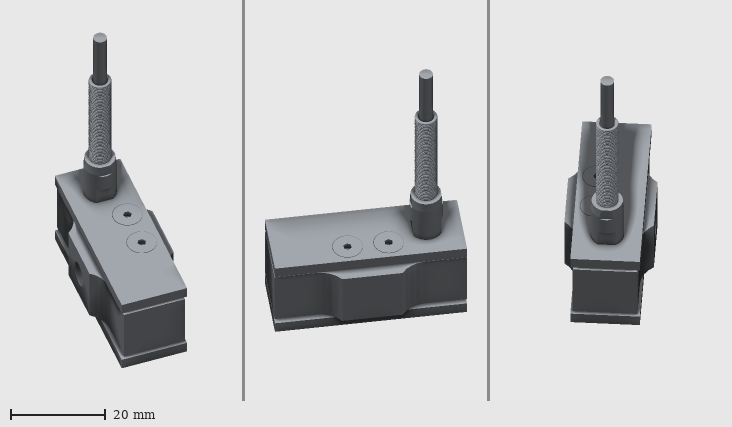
import cadquery as cq
import math

plate_thickness = 2.55
lower_gap = 0.8
block_height = 12.5
upper_gap = 0.6
total_height = 65.0

block_bottom = plate_thickness + lower_gap
block_top = block_bottom + block_height
top_plate_bottom = block_top + upper_gap
top_plate_top = top_plate_bottom + plate_thickness

housing_length = 40.95
plate_width = 14.7
block_width = 13.65
boss_width = 18.9
boss_face_length = 12.9
boss_foot_length = 23.0
front_hole_diameter = 5.5
front_hole_depth = 6.5

screw_spacing = 8.8
screw_y = 3.05
screw_diameter = 2.9
countersink_diameter = 6.55
head_gap = 0.1
socket_across_flats = 1.6
socket_depth = 1.3

gland_x = -12.8
gland_diameter = 7.1
gland_top_diameter = 6.6
stem_diameter = 4.9
gland_top = 29.3
cone_bottom = 27.2
lower_flats_top = 22.9
lower_flats_width = 6.0
upper_flats_bottom = 26.8
upper_flats_width = 6.4
sleeve_top = 52.4
sleeve_diameter = 4.8
sleeve_bore = 3.3
rib_count = 54

cable_diameter = 2.9


def plate(bottom):
    start = cq.Workplane("XY", origin=(0, 0, bottom))
    return start.rect(housing_length, plate_width).extrude(plate_thickness)


def block():
    """Block whose bosses run out into the sides along concave arcs tangent to the sides."""
    end_x = housing_length / 2
    side_y = block_width / 2
    boss_y = boss_width / 2
    face_x = boss_face_length / 2
    foot_x = boss_foot_length / 2

    run = foot_x - face_x
    rise = boss_y - side_y
    radius = (run**2 + rise**2) / (2 * rise)
    half_angle = math.asin(run / radius) / 2
    middle_x = foot_x - radius * math.sin(half_angle)
    middle_y = side_y + radius * (1 - math.cos(half_angle))

    body = (
        cq.Workplane("XY", origin=(0, 0, block_bottom))
        .moveTo(-end_x, -side_y)
        .lineTo(-foot_x, -side_y)
        .threePointArc((-middle_x, -middle_y), (-face_x, -boss_y))
        .lineTo(face_x, -boss_y)
        .threePointArc((middle_x, -middle_y), (foot_x, -side_y))
        .lineTo(end_x, -side_y)
        .lineTo(end_x, side_y)
        .lineTo(foot_x, side_y)
        .threePointArc((middle_x, middle_y), (face_x, boss_y))
        .lineTo(-face_x, boss_y)
        .threePointArc((-middle_x, middle_y), (-foot_x, side_y))
        .lineTo(-end_x, side_y)
        .close()
        .extrude(block_height)
    )
    front_hole = (
        cq.Workplane("XZ", origin=(0, -boss_y, block_bottom + block_height / 2))
        .circle(front_hole_diameter / 2)
        .extrude(-front_hole_depth)
    )
    return body.cut(front_hole)


def screw_shank(x):
    """Shank bridging the gaps between the block and both plates."""
    return cq.Workplane("XY", origin=(x, screw_y, 0)).circle(screw_diameter / 2).extrude(top_plate_bottom)


def head_groove(x):
    """V-shaped ring between the countersink and the rim of the flush screw head."""
    outer = countersink_diameter / 2
    inner = outer - head_gap
    return (
        cq.Workplane("XZ", origin=(x, screw_y, top_plate_top))
        .polyline([(outer, 0), (inner, 0), (inner, -head_gap)])
        .close()
        .revolve(360, (0, 0, 0), (0, 1, 0))
    )


def head_socket(x):
    """Hexagon socket with two corners along Y."""
    across_corners = socket_across_flats / math.cos(math.pi / 6)
    return (
        cq.Workplane("XY", origin=(x, screw_y, top_plate_top))
        .transformed(rotate=(0, 0, 90))
        .polygon(6, across_corners)
        .extrude(-socket_depth)
    )


def make_housing():
    body = block().union(plate(0)).union(plate(top_plate_bottom))
    for x in (-screw_spacing / 2, screw_spacing / 2):
        body = body.union(screw_shank(x)).cut(head_groove(x)).cut(head_socket(x))
    stem_hole = (
        cq.Workplane("XY", origin=(gland_x, 0, block_top))
        .circle(stem_diameter / 2)
        .extrude(top_plate_top - block_top)
    )
    return body.cut(stem_hole)


def gland_core():
    """Stem, barrel and conical top as one turned shape."""
    stem = stem_diameter / 2
    barrel = gland_diameter / 2
    return (
        cq.Workplane("XZ", origin=(gland_x, 0, 0))
        .moveTo(0, block_top)
        .lineTo(stem, block_top)
        .lineTo(stem, top_plate_top)
        .lineTo(barrel, top_plate_top)
        .lineTo(barrel, cone_bottom)
        .lineTo(gland_top_diameter / 2, gland_top)
        .lineTo(0, gland_top)
        .close()
        .revolve(360, (0, 0, 0), (0, 1, 0))
    )


def flats(width, bottom, top):
    """Material outside a pair of flats that face -X and +X."""
    height = top - bottom
    start = cq.Workplane("XY", origin=(gland_x, 0, bottom))
    around = start.rect(2 * gland_diameter, 2 * gland_diameter).extrude(height)
    between = start.rect(width, 2 * gland_diameter).extrude(height)
    return around.cut(between)


def sleeve():
    """Corrugated tube: half-round ribs stacked back to back on its outside and inside."""
    pitch = (sleeve_top - gland_top) / rib_count
    rib_radius = pitch / 2
    outer_root = sleeve_diameter / 2 - rib_radius
    inner_root = sleeve_bore / 2 + rib_radius

    profile = cq.Workplane("XZ", origin=(gland_x, 0, 0))
    profile = profile.moveTo(inner_root, gland_top).lineTo(outer_root, gland_top)
    for rib in range(rib_count):
        rib_bottom = gland_top + rib * pitch
        crest = (sleeve_diameter / 2, rib_bottom + rib_radius)
        profile = profile.threePointArc(crest, (outer_root, rib_bottom + pitch))

    profile = profile.lineTo(inner_root, sleeve_top)
    for rib in range(rib_count):
        rib_top = sleeve_top - rib * pitch
        crest = (sleeve_bore / 2, rib_top - rib_radius)
        profile = profile.threePointArc(crest, (inner_root, rib_top - pitch))
    return profile.close().revolve(360, (0, 0, 0), (0, 1, 0))


def make_cable():
    return (
        cq.Workplane("XY", origin=(gland_x, 0, block_top))
        .circle(cable_diameter / 2)
        .extrude(total_height - block_top)
    )


def make_gland():
    core = gland_core()
    core = core.cut(flats(lower_flats_width, top_plate_top, lower_flats_top))
    core = core.cut(flats(upper_flats_width, upper_flats_bottom, gland_top))
    return core.cut(make_cable()).union(sleeve())


housing = make_housing()
gland = make_gland()
cable = make_cable()

result = cq.Compound.makeCompound([housing.val(), gland.val(), cable.val()])